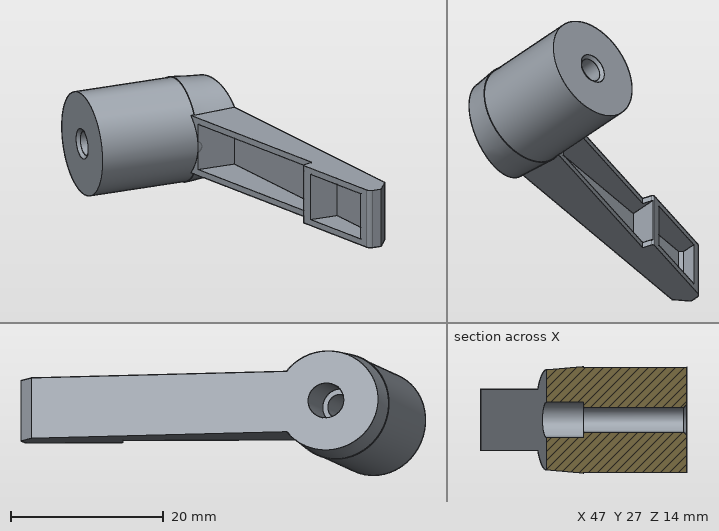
import cadquery as cq
import math


body_radius = 6.9
body_height = 13.55
head_radius = 7.0
head_taper = math.radians(5)
head_blank_height = 21.15

bore_radius = 1.6
bore_chamfer = 0.4
counterbore_radius = 2.3
counterbore_floor = body_height

arm_end = 40.0
arm_width = 8.05
peak_x, peak_y = 37.95, 27.0
top_slope = math.tan(math.radians(12.8))
nose_y = 25.55
grip_angle = math.radians(20)
step_x, step_y = 27.45, 21.0
step_height = 1.6
step_fillet = 0.3
nose_fillet = 0.7

pocket_wall = 0.85
roof_thickness = 1.2
long_pocket_start = 6.95
grip_pocket_start = 29.4
grip_pocket_end = 38.45


def top_y(x):
    """Height of the sloping top face at x."""
    return peak_y + (x - peak_x) * top_slope


def underside_y(x, start_x, start_y):
    """Height at x of an underside line through the given point."""
    return start_y + (x - start_x) * math.tan(grip_angle)


def extrude_in_z(points, width):
    """Prism of an XY outline, centred on the Z = 0 plane."""
    return cq.Workplane("XY").polyline(points).close().extrude(width / 2, both=True)


step_bottom_x = step_x + step_height * math.sin(grip_angle)
step_bottom_y = step_y - step_height * math.cos(grip_angle)
nose_bottom_y = underside_y(arm_end, step_bottom_x, step_bottom_y)


def make_hub():
    body = cq.Workplane("XZ").circle(body_radius).extrude(-body_height)
    rim_radius = head_radius - (head_blank_height - body_height) * math.tan(head_taper)
    head = (
        cq.Workplane("XY")
        .moveTo(0, body_height)
        .lineTo(head_radius, body_height)
        .lineTo(rim_radius, head_blank_height)
        .lineTo(0, head_blank_height)
        .close()
        .revolve(360, (0, 0, 0), (0, 1, 0))
    )
    below_top = extrude_in_z(
        [
            (-head_radius, 0),
            (head_radius, 0),
            (head_radius, top_y(head_radius)),
            (-head_radius, top_y(-head_radius)),
        ],
        2 * head_radius,
    )
    return body.union(head.intersect(below_top))


def make_arm():
    arm = extrude_in_z(
        [
            (0, top_y(0)),
            (peak_x, peak_y),
            (arm_end, nose_y),
            (arm_end, nose_bottom_y),
            (step_bottom_x, step_bottom_y),
            (step_x, step_y),
            (0, underside_y(0, step_x, step_y)),
        ],
        arm_width,
    )

    def edge_at(x, y):
        return cq.selectors.NearestToPointSelector((x, y, 0))

    arm = arm.edges("|Z").edges(edge_at(step_bottom_x, step_bottom_y)).fillet(step_fillet)
    return arm.edges("|Z").edges(edge_at(arm_end, nose_bottom_y)).fillet(nose_fillet)


def make_pockets():
    width = arm_width - 2 * pocket_wall
    roof_drop = roof_thickness / math.cos(math.atan(top_slope))
    long_pocket = extrude_in_z(
        [
            (long_pocket_start, 0),
            (step_bottom_x, 0),
            (step_bottom_x, top_y(step_bottom_x) - roof_drop),
            (long_pocket_start, top_y(long_pocket_start) - roof_drop),
        ],
        width,
    )
    nose_slope = (nose_y - peak_y) / (arm_end - peak_x)
    bend_y = peak_y - roof_drop
    end_y = bend_y + (grip_pocket_end - peak_x) * nose_slope
    grip_pocket = extrude_in_z(
        [
            (grip_pocket_start, 0),
            (grip_pocket_end, 0),
            (grip_pocket_end, end_y),
            (peak_x, bend_y),
            (grip_pocket_start, top_y(grip_pocket_start) - roof_drop),
        ],
        width,
    )
    return long_pocket.union(grip_pocket)


def make_bore():
    mouth_radius = bore_radius + bore_chamfer
    return (
        cq.Workplane("XY")
        .polyline(
            [
                (0, 0),
                (mouth_radius, 0),
                (bore_radius, bore_chamfer),
                (bore_radius, counterbore_floor),
                (counterbore_radius, counterbore_floor),
                (counterbore_radius, head_blank_height),
                (0, head_blank_height),
            ]
        )
        .close()
        .revolve(360, (0, 0, 0), (0, 1, 0))
    )


arm = make_arm().cut(make_pockets())
result = make_hub().union(arm).cut(make_bore())